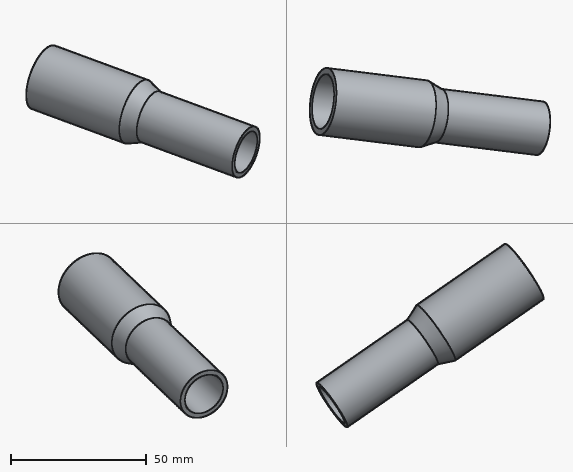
import cadquery as cq

total_length = 87.0
wide_length = 40.0
taper_length = 6.0

wide_outer_diameter = 25.0
wide_bore_diameter = 20.4
narrow_outer_diameter = 20.0
narrow_bore_diameter = 16.2

wide_end_x = -total_length / 2
narrow_end_x = total_length / 2
taper_start_x = wide_end_x + wide_length
taper_end_x = taper_start_x + taper_length


def reducer_solid(wide_diameter, narrow_diameter):
    """Solid of revolution about X: wide cylinder, cone, narrow cylinder."""
    wide_radius = wide_diameter / 2
    narrow_radius = narrow_diameter / 2
    return (
        cq.Workplane("XY")
        .moveTo(wide_end_x, 0)
        .lineTo(wide_end_x, wide_radius)
        .lineTo(taper_start_x, wide_radius)
        .lineTo(taper_end_x, narrow_radius)
        .lineTo(narrow_end_x, narrow_radius)
        .lineTo(narrow_end_x, 0)
        .close()
        .revolve(360, (0, 0, 0), (1, 0, 0))
    )


outer_body = reducer_solid(wide_outer_diameter, narrow_outer_diameter)
bore = reducer_solid(wide_bore_diameter, narrow_bore_diameter)
result = outer_body.cut(bore)